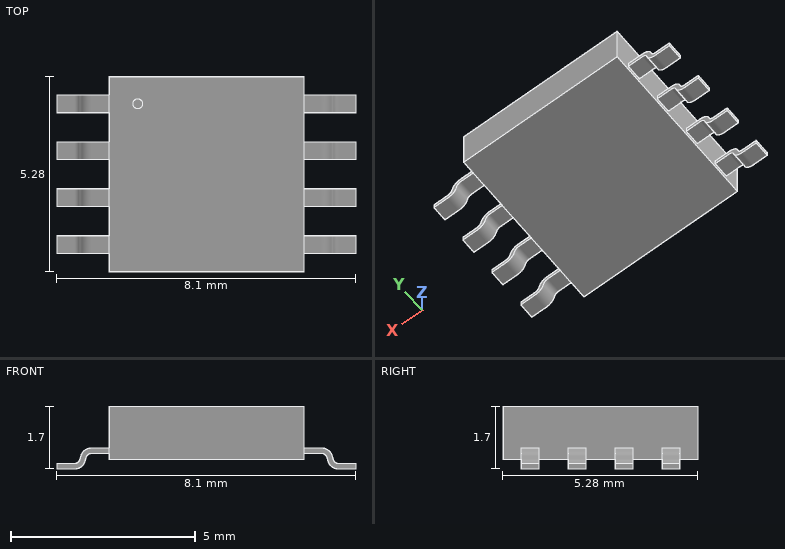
import cadquery as cq
import math


SPAN = 8.1
TOTAL_HEIGHT = 1.7
BODY_SIDE = 5.28
STANDOFF = 0.26

LEADS_PER_SIDE = 4
LEAD_PITCH = 1.27
LEAD_WIDTH = 0.49
LEAD_THICKNESS = 0.15
LEAD_TOP = 0.575
SHOULDER_LENGTH = 0.48
INNER_RADIUS = 0.145
BEND_ANGLE = math.radians(74)

MARKER_DIAMETER = 0.27
MARKER_DEPTH = 0.08
MARKER_X = -1.86

HALF_BODY = BODY_SIDE / 2
LEAD_ROWS = [(i - (LEADS_PER_SIDE - 1) / 2) * LEAD_PITCH for i in range(LEADS_PER_SIDE)]
MARKER_Y = LEAD_ROWS[-1]


def make_marker():
    return (
        cq.Workplane("XY", origin=(MARKER_X, MARKER_Y, TOTAL_HEIGHT - MARKER_DEPTH))
        .circle(MARKER_DIAMETER / 2)
        .extrude(MARKER_DEPTH)
    )


def make_housing(marker):
    """Plain block with a shallow recess that the marker fills."""
    block = cq.Workplane("XY", origin=(0, 0, STANDOFF)).rect(BODY_SIDE, BODY_SIDE)
    return block.extrude(TOTAL_HEIGHT - STANDOFF).cut(marker)


def make_right_lead(y):
    """Lead on the +X side: shoulder, bend down, short sloping web, bend back, foot."""
    outer_radius = INNER_RADIUS + LEAD_THICKNESS
    sin_bend = math.sin(BEND_ANGLE)
    cos_bend = math.cos(BEND_ANGLE)

    shoulder_drop = LEAD_TOP - LEAD_THICKNESS
    web_drop = shoulder_drop - (INNER_RADIUS + outer_radius) * (1 - cos_bend)
    web_run = web_drop * cos_bend / sin_bend

    upper_x = HALF_BODY + SHOULDER_LENGTH
    upper_z = LEAD_TOP - outer_radius
    lower_x = upper_x + (INNER_RADIUS + outer_radius) * sin_bend + web_run
    lower_z = outer_radius

    def upper_bend(radius, angle):
        return (upper_x + radius * math.sin(angle), upper_z + radius * math.cos(angle))

    def lower_bend(radius, angle):
        return (lower_x - radius * math.sin(angle), lower_z - radius * math.cos(angle))

    half_bend = BEND_ANGLE / 2
    return (
        cq.Workplane("XZ", origin=(0, y + LEAD_WIDTH / 2, 0))
        .moveTo(HALF_BODY, LEAD_TOP)
        .lineTo(upper_x, LEAD_TOP)
        .threePointArc(upper_bend(outer_radius, half_bend), upper_bend(outer_radius, BEND_ANGLE))
        .lineTo(*lower_bend(INNER_RADIUS, BEND_ANGLE))
        .threePointArc(lower_bend(INNER_RADIUS, half_bend), lower_bend(INNER_RADIUS, 0))
        .lineTo(SPAN / 2, LEAD_THICKNESS)
        .lineTo(SPAN / 2, 0)
        .lineTo(lower_x, 0)
        .threePointArc(lower_bend(outer_radius, half_bend), lower_bend(outer_radius, BEND_ANGLE))
        .lineTo(*upper_bend(INNER_RADIUS, BEND_ANGLE))
        .threePointArc(upper_bend(INNER_RADIUS, half_bend), upper_bend(INNER_RADIUS, 0))
        .lineTo(HALF_BODY, LEAD_TOP - LEAD_THICKNESS)
        .close()
        .extrude(LEAD_WIDTH)
    )


marker = make_marker()
housing = make_housing(marker)

leads = []
for row_y in LEAD_ROWS:
    right_lead = make_right_lead(row_y)
    left_lead = right_lead.mirror("YZ")
    leads += [right_lead.val(), left_lead.val()]

result = cq.Compound.makeCompound([housing.val(), marker.val(), *leads])